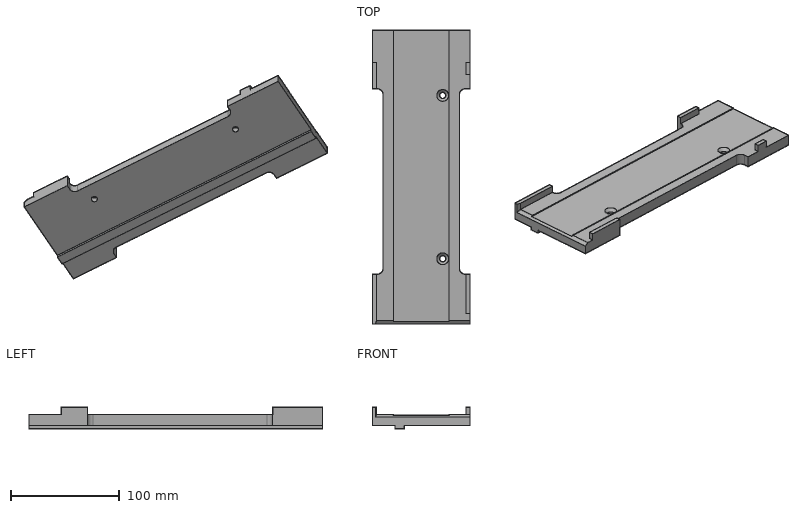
import cadquery as cq

width = 90.0
length = 270.0
height = 20.0
left = -width / 2
right = width / 2
front = -length / 2
rear = length / 2

plate_bottom = 3.0
plate_top = 13.5
channel_width = 51.0
channel_depth = 0.8
channel_floor = plate_top - channel_depth

waist_inset = 9.7
waist_front = front + 46.0
waist_rear = rear - 54.0
waist_length = waist_rear - waist_front
waist_fillet = 5.0

rail_width = 4.0
rear_rail_end = rear - 29.7
rear_stop_length = 10.8
front_right_rail_start = front + 9.7

bevel_length = 3.2
bevel_drop = 2.5
rail_taper = 1.4

rib_left = left + 20.8
rib_width = 8.6

hole_diameter = 5.5
countersink_diameter = 10.8
countersink_angle = 90
hole_x = 19.7
hole_spacing = 150.0


def box(x_min, y_min, z_min, x_size, y_size, z_size):
    """Axis-aligned block placed by its lowest corner."""
    block = cq.Workplane("XY").box(x_size, y_size, z_size, centered=False)
    return block.translate((x_min, y_min, z_min))


def rail(x_min, y_start, y_end):
    """Upright rail running from the plate underside to the full height."""
    return box(x_min, y_start, plate_bottom, rail_width, y_end - y_start, height - plate_bottom)


def waist_notch(x_min):
    """Side cutter, twice as wide as the inset and centred on a side edge."""
    notch = box(x_min, waist_front, 0, 2 * waist_inset, waist_length, height)
    return notch.edges("|Z").fillet(waist_fillet)


plate = box(left, front, plate_bottom, width, length, plate_top - plate_bottom)
plate = plate.cut(box(-channel_width / 2, front, channel_floor,
                      channel_width, length, channel_depth))
for side in (left, right):
    plate = plate.cut(waist_notch(side - waist_inset))

bevel_profile = [
    (front, plate_top),
    (front + bevel_length, plate_top),
    (front, plate_top - bevel_drop),
]
plate = plate.cut(cq.Workplane("YZ", origin=(left, 0, 0)).polyline(bevel_profile).close().extrude(width))

front_left_rail_outline = [
    (left, front),
    (left + rail_width - rail_taper, front),
    (left + rail_width, front + bevel_length),
    (left + rail_width, waist_front),
    (left, waist_front),
]
front_left_rail = (
    cq.Workplane("XY", origin=(0, 0, plate_bottom))
    .polyline(front_left_rail_outline)
    .close()
    .extrude(height - plate_bottom)
)

right_rail_x = right - rail_width
result = (
    plate.union(front_left_rail)
    .union(rail(left, waist_rear, rear_rail_end))
    .union(rail(right_rail_x, front_right_rail_start, waist_front))
    .union(rail(right_rail_x, rear_rail_end - rear_stop_length, rear_rail_end))
    .union(box(rib_left, front, 0, rib_width, length, plate_bottom))
)

result = (
    result.copyWorkplane(cq.Workplane("XY", origin=(0, 0, channel_floor)))
    .pushPoints([(hole_x, -hole_spacing / 2), (hole_x, hole_spacing / 2)])
    .cskHole(hole_diameter, countersink_diameter, countersink_angle)
)